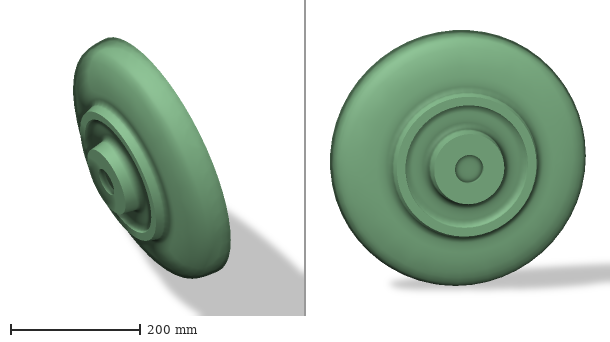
import cadquery as cq

rim_radius = 200.0
total_depth = 101.3

plate_thickness = 1.5

flank_points = [(198.5, 23.2), (193.7, 37.2), (181.5, 48.0), (150.0, 59.0)]
shoulder_root_radius = 123.0
shoulder_root_depth = 61.2

ring_base_radius = 114.5
ring_base_depth = 66.5
ring_outer_radius = 110.0
ring_inner_radius = 96.5
ring_face_depth = 80.0

groove_outer_radius = 85.5
groove_inner_radius = 67.5
groove_floor_depth = 71.5

hub_base_radius = 59.0
hub_base_depth = 79.5
hub_face_radius = 55.2

hole_radius = 22.5
hole_depth = 11.0


def front_point(radius, depth):
    """Place a radius and a forward depth on the XY half-plane."""
    return (radius, -depth)


def make_wheel():
    """Revolve the half section of the wheel around Y, blind hole included."""
    flank = [front_point(radius, depth) for radius, depth in flank_points]
    shoulder_root = front_point(shoulder_root_radius, shoulder_root_depth)
    section = (
        cq.Workplane("XY")
        .moveTo(*front_point(0, plate_thickness))
        .lineTo(*front_point(rim_radius, plate_thickness))
        .spline(flank + [shoulder_root], includeCurrent=True)
        .tangentArcPoint(front_point(ring_base_radius, ring_base_depth), relative=False)
        .lineTo(*front_point(ring_outer_radius, ring_face_depth))
        .lineTo(*front_point(ring_inner_radius, ring_face_depth))
        .radiusArc(
            front_point(groove_outer_radius, groove_floor_depth),
            groove_outer_radius - ring_inner_radius,
        )
        .lineTo(*front_point(groove_inner_radius, groove_floor_depth))
        .tangentArcPoint(front_point(hub_base_radius, hub_base_depth), relative=False)
        .lineTo(*front_point(hub_face_radius, total_depth))
        .lineTo(*front_point(hole_radius, total_depth))
        .lineTo(*front_point(hole_radius, total_depth - hole_depth))
        .lineTo(*front_point(0, total_depth - hole_depth))
        .close()
    )
    return section.revolve(360, (0, 0), (0, 1))


def make_back_plate():
    """Flat disc from the back face forward to the wheel, flush with its rim."""
    return cq.Workplane("XZ").circle(rim_radius).extrude(plate_thickness)


wheel = make_wheel()
back_plate = make_back_plate()

result = cq.Compound.makeCompound([wheel.val(), back_plate.val()])